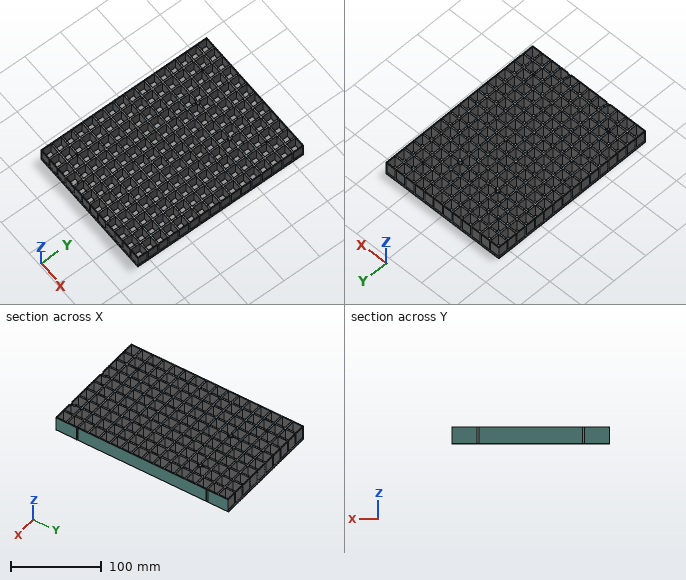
import cadquery as cq

length_x = 174
length_y = 232
height = 18.8

columns = 12
rows = 16
pitch = length_x / columns
rib_thickness = 2.0
floor_thickness = rib_thickness

recess_depth = 1.9
recess_side = 6.3
recess_x = 2 * pitch
recess_y = 4 * pitch
notch_width = 5.0
notch_reach = 6.0
notch_x = 30.0

hole_diameter = 1.8
hole_x = 4 * pitch
hole_shift_y = 0.32
hole_y = 6 * pitch + hole_shift_y


def block():
    return cq.Workplane("XY").box(length_x, length_y, height, centered=(True, True, False))


def pockets():
    pocket_side = pitch - rib_thickness
    return (
        cq.Workplane("XY")
        .workplane(offset=floor_thickness)
        .rarray(pitch, pitch, columns, rows)
        .rect(pocket_side, pocket_side)
        .extrude(height - floor_thickness)
    )


def top_recesses(centres, width, depth_y):
    """Rectangular cuts sunk from the top face at the given centres."""
    return (
        cq.Workplane("XY")
        .workplane(offset=height - recess_depth)
        .pushPoints(centres)
        .rect(width, depth_y)
        .extrude(recess_depth)
    )


def corner_holes():
    """Four round holes through the full height of the ribs and floor."""
    return (
        cq.Workplane("XY")
        .rarray(2 * hole_x, 2 * hole_y, 2, 2)
        .circle(hole_diameter / 2)
        .extrude(height)
    )


rib_recesses = top_recesses([(-recess_x, recess_y), (recess_x, recess_y)], recess_side, recess_side)

notch_y = -(length_y - notch_reach) / 2
front_notches = top_recesses([(-notch_x, notch_y), (notch_x, notch_y)], notch_width, notch_reach)

result = block().cut(pockets()).cut(rib_recesses).cut(front_notches).cut(corner_holes())